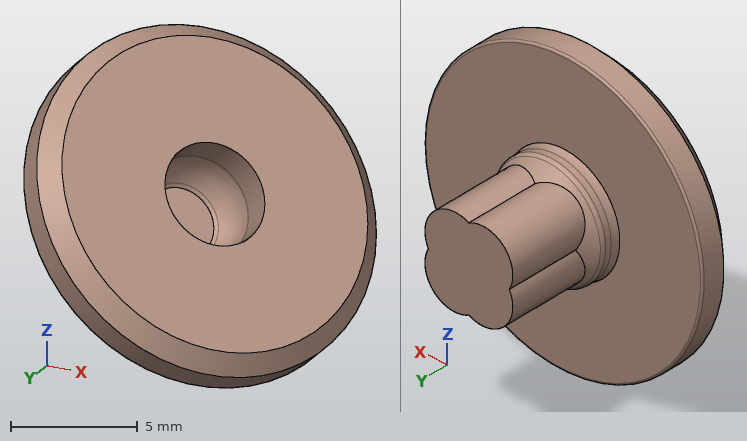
import cadquery as cq
import math

flange_radius = 7.45
flange_thickness = 2.0
front_chamfer = 0.75
rear_edge_fillet = 0.1

collar_radius = 2.95
flare_height = 0.42
flare_radius = 1.19
shoulder_end = 2.86
shoulder_round = 0.3
cone_angle = 45.0

total_length = 7.5
lobe_radius = 1.61
lobe_offset = 0.75

mouth_radius = 2.19
mouth_depth = 1.49
dome_radius = 2.09
dome_end_radius = 1.6
bore_end_radius = 1.46
bore_end_taper = 0.13


def make_flange():
    disc = cq.Workplane("XZ").circle(flange_radius).extrude(-flange_thickness)
    return disc.faces("<Y").chamfer(front_chamfer).faces(">Y").edges().fillet(rear_edge_fillet)


def make_collar():
    """Revolved collar with a concave flare at its foot and a rounded shoulder."""
    flare_end = flange_thickness + flare_height
    flare_center_r = collar_radius + flare_radius

    def flare_r(height):
        return flare_center_r - math.sqrt(flare_radius**2 - height**2)

    cone_tip = shoulder_end + collar_radius * math.tan(math.radians(cone_angle))
    half_turn = math.radians(cone_angle / 2)
    round_setback = shoulder_round * math.tan(half_turn)
    round_drop = round_setback * math.cos(math.radians(cone_angle))
    round_center_r = collar_radius - shoulder_round
    round_start = shoulder_end - round_setback
    round_mid = (
        round_center_r + shoulder_round * math.cos(half_turn),
        round_start + shoulder_round * math.sin(half_turn),
    )
    return (
        cq.Workplane("XY")
        .moveTo(0, flange_thickness)
        .lineTo(flare_r(flare_height), flange_thickness)
        .threePointArc((flare_r(flare_height / 2), flare_end - flare_height / 2), (collar_radius, flare_end))
        .lineTo(collar_radius, round_start)
        .threePointArc(round_mid, (collar_radius - round_drop, shoulder_end + round_drop))
        .lineTo(0, cone_tip)
        .close()
        .revolve(360, (0, 0, 0), (0, 1, 0))
    )


def make_lobe(x, z):
    foot = cq.Workplane("XZ", origin=(x, flange_thickness, z))
    return foot.circle(lobe_radius).extrude(flange_thickness - total_length)


def make_bore():
    """Revolved cutter whose dome is tangent to the straight mouth."""
    dome_center_r = mouth_radius - dome_radius
    dome_angle = math.acos((dome_end_radius - dome_center_r) / dome_radius)

    def dome_point(angle):
        return (
            dome_center_r + dome_radius * math.cos(angle),
            mouth_depth + dome_radius * math.sin(angle),
        )

    dome_end = dome_point(dome_angle)
    bore_depth = dome_end[1] + bore_end_taper
    return (
        cq.Workplane("XY")
        .lineTo(mouth_radius, 0)
        .lineTo(mouth_radius, mouth_depth)
        .threePointArc(dome_point(dome_angle / 2), dome_end)
        .lineTo(bore_end_radius, bore_depth)
        .lineTo(0, bore_depth)
        .close()
        .revolve(360, (0, 0, 0), (0, 1, 0))
    )


body = make_flange().union(make_collar())
for lobe_x in (-lobe_offset, lobe_offset):
    for lobe_z in (-lobe_offset, lobe_offset):
        body = body.union(make_lobe(lobe_x, lobe_z))
result = body.cut(make_bore())